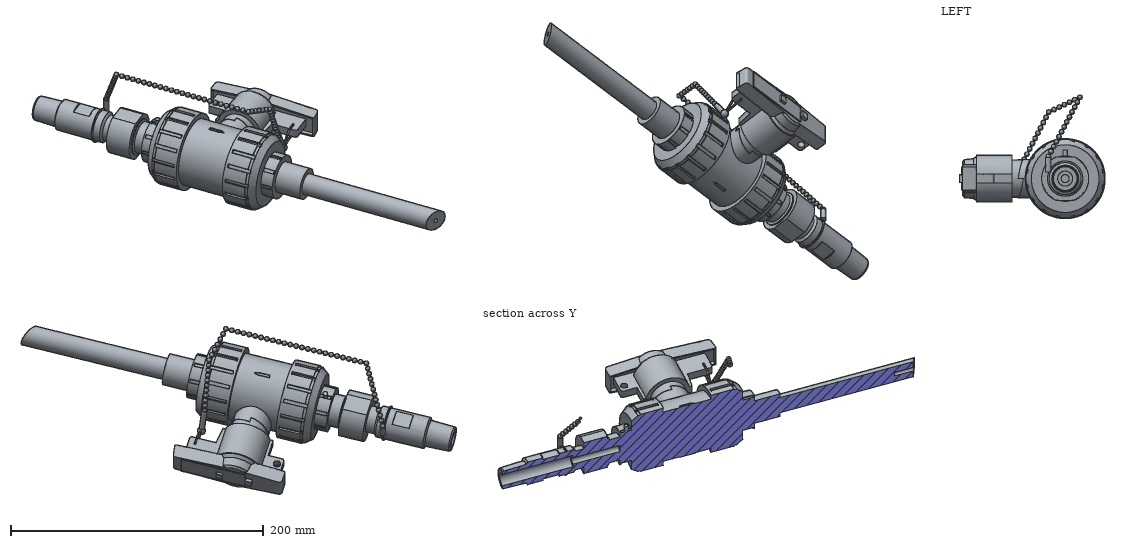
import cadquery as cq
import math


THREAD_START_DIA = 20.0
THREAD_END_DIA = 21.3
THREAD_END_X = 20.3
THREAD_CHAMFER = 1.2
HOSE_DIA = 25.4
HOSE_START_X = 21.5
HOSE_END_X = 60.6
NECK_DIA = 21.3
NECK_START_X = 62.2
FLAT_START_X = 34.6
FLAT_END_X = 48.5
FLAT_WIDTH = 12.6
NUT_START_X = 69.3
NUT_END_X = 89.4
NUT_DIA = 37.34
NUT_ACROSS_FLATS = 34.54
SPIGOT_SHOULDER_DIA = 30.0
SPIGOT_DIA = 26.0
SPIGOT_SHOULDER_LENGTH = 1.0
SPIGOT_START_X = 91.2
BORE_DIA = 11.91
BORE_DEPTH = 60.0
INNER_BORE_DIA = 6.35
INNER_BORE_DEPTH = 100.0

VALVE_X = 157.1
BODY_DIA = 54.86
BODY_HALF_LENGTH = 20.2
COLLAR_END = 47.3
COLLAR_DIA = 63.5
COLLAR_BASE_DIA = 62.0
COLLAR_FACE_DIA = 53.6
COLLAR_CONE_LENGTH = 5.4
COLLAR_STEP_WIDTH = 2.2
COLLAR_RIM = 2.2
GRIP_GROOVES = 16
GRIP_GROOVE_WIDTH = 2.8
GRIP_GROOVE_FLOOR_DIA = 60.0
CONNECTOR_DIA = 36.0
CONNECTOR_END = 57.4
CONNECTOR_SLOTS = 8
CONNECTOR_SLOT_WIDTH = 2.8
CONNECTOR_SLOT_DEPTH = 1.0
CONNECTOR_RIM = 1.2
PIN_DIA = 3.81
PIN_X = 105.4
PIN_TOP_Z = 22.5
ARROW_START_X = 151.2
ARROW_HEAD_X = 161.0
ARROW_TIP_X = 163.6
ARROW_HALF_WIDTH = 1.1
ARROW_HEIGHT = 0.5

SLEEVE_DIA = 25.4
SLEEVE_END_X = 236.1
QUILL_DIA = 17.14
QUILL_TIP_X = 353.62
QUILL_BEVEL = 8.6
QUILL_HOLE_DIA = 3.17
QUILL_HOLE_DEPTH = 20.0

STEM_DIA = 29.8
CAM_SLEEVE_DIA = 30.4
CAM_RAMPS = 4
CAM_LOW_Y = 33.2
CAM_HIGH_Y = 37.2
HUB_DIA = 37.34
HUB_START_Y = 42.1
BAR_START_Y = 70.2
BAR_END_Y = 81.3
DOME_BASE_DIA = 35.2
DOME_NECK_DIA = 31.8
DOME_NECK_Y = 72.8
DOME_TOP_DIA = 30.4
DOME_CHAMFER = 1.6
BAR_LEFT = -38.7
BAR_RIGHT = 52.2
BAR_TOP_RIGHT = 50.6
BAR_HALF_HEIGHT = 9.2
BAR_MID_HALF_HEIGHT = 12.0
BAR_WALL = 1.2
BAR_TOP_THICKNESS = 7.8
BAR_TOP_RADIUS = 2.5
BAR_RIM_RADIUS = 1.2
LUG_THICKNESS = 7.0
LUG_LEFT = -34.1
LUG_RIGHT = 43.6
LUG_BOTTOM_Y = 56.3
LUG_CORNER_RADIUS = 2.0
WEB_LEFT = -20.7
WEB_RIGHT_TOP = 22.3
WEB_RIGHT_BOTTOM = 20.6
LUG_HOLE_DIA = 5.5
LUG_HOLE_Y = 61.9
LUG_HOLE_OFFSET = -29.5
HOOK_OFFSET = 37.9
CAP_START = -9.0
CAP_HALF_HEIGHT = 9.0
CAP_TOP_Y = 82.1
STOP_TOP_Y = 83.9
STOP_WIDTH = 5.2
STOP_HEIGHT = 6.4
STOP_CENTRES = (-12.0, 12.0)

BEAD_DIA = 3.81
BEAD_PITCH = 4.8
LINK_DIA = 1.2
WIRE_DIA = 1.4
CRIMP_DIA = 4.4
CRIMP_LENGTH = 11.5
CRIMP_BEAD_OFFSET = 0.6
END_BALL_DIA = 6.35
RING_X = 54.3
RING_RADIUS = 13.3
CHAIN_TOP_Z = 66.33 - BEAD_DIA / 2
CHAIN_FRONT_Y = -11.7
HOOK_X = VALVE_X + HOOK_OFFSET
CHAIN_NODES = [
    (RING_X, RING_RADIUS, 17.5),
    (74.9, CHAIN_FRONT_Y, CHAIN_TOP_Z),
    (190.6, CHAIN_FRONT_Y, CHAIN_TOP_Z),
    (197.4, 13.0, 52.7),
    (HOOK_X, 34.6, 11.0),
]
HOOK_BALL = (HOOK_X, 43.5, -6.0)
HOOK_FACE_Z = LUG_THICKNESS / 2 + 0.5
HOOK_LOOP = [
    HOOK_BALL,
    (HOOK_X, LUG_BOTTOM_Y - 2.0, HOOK_FACE_Z),
    (HOOK_X, LUG_HOLE_Y, HOOK_FACE_Z),
    (HOOK_X, LUG_HOLE_Y, -HOOK_FACE_Z),
    HOOK_BALL,
]


def rod(start, end, dia):
    """Solid round rod between two points."""
    axis = cq.Vector(*end) - cq.Vector(*start)
    return cq.Workplane(cq.Solid.makeCylinder(dia / 2, axis.Length, cq.Vector(*start), axis))


def ball(centre, dia):
    return cq.Workplane("XY").sphere(dia / 2).translate(centre)


def box_between(low, high):
    size = [b - a for a, b in zip(low, high)]
    return cq.Workplane("XY").box(*size, centered=False).translate(low)


def x_cylinder(start_x, end_x, dia):
    return rod((start_x, 0, 0), (end_x, 0, 0), dia)


def revolve_about_x(stations):
    """Turned solid from (x, diameter) stations."""
    outline = [(stations[0][0], 0)]
    outline += [(x, dia / 2) for x, dia in stations]
    outline.append((stations[-1][0], 0))
    return cq.Workplane("XY").polyline(outline).close().revolve(360, (0, 0, 0), (1, 0, 0))


def mirrored_about_valve(half):
    return half.union(half.mirror("YZ", (VALVE_X, 0, 0)))


def make_inlet():
    inlet = revolve_about_x([
        (0, THREAD_START_DIA - THREAD_CHAMFER),
        (THREAD_CHAMFER, THREAD_START_DIA),
        (THREAD_END_X, THREAD_END_DIA),
        (HOSE_START_X, HOSE_DIA),
        (HOSE_END_X, HOSE_DIA),
        (NECK_START_X, NECK_DIA),
        (NUT_START_X, NECK_DIA),
        (NUT_START_X, NUT_DIA),
        (NUT_END_X, NUT_DIA),
        (NUT_END_X, SPIGOT_SHOULDER_DIA),
        (NUT_END_X + SPIGOT_SHOULDER_LENGTH, SPIGOT_SHOULDER_DIA),
        (SPIGOT_START_X, SPIGOT_DIA),
        (VALVE_X - CONNECTOR_END, SPIGOT_DIA),
        (VALVE_X, SPIGOT_DIA),
    ])
    hose_flat_z = math.sqrt(HOSE_DIA ** 2 - FLAT_WIDTH ** 2) / 2
    hose_flat = box_between(
        (FLAT_START_X, -HOSE_DIA, hose_flat_z), (FLAT_END_X, HOSE_DIA, HOSE_DIA))
    nut_flat = box_between(
        (NUT_START_X, -NUT_DIA, NUT_ACROSS_FLATS / 2), (NUT_END_X, NUT_DIA, NUT_DIA))
    for flat in (hose_flat, nut_flat):
        inlet = inlet.cut(flat).cut(flat.mirror("XY"))
    return inlet


def make_collar():
    """Collar on the inlet side: cone, low step, then grip pads between grooves."""
    face_x = VALVE_X - COLLAR_END
    cone_x = face_x + COLLAR_CONE_LENGTH
    pad_x = cone_x + COLLAR_STEP_WIDTH
    inner_x = VALVE_X - BODY_HALF_LENGTH
    collar = revolve_about_x([
        (face_x, COLLAR_FACE_DIA),
        (cone_x, COLLAR_BASE_DIA),
        (pad_x, COLLAR_BASE_DIA),
        (pad_x, COLLAR_DIA),
        (inner_x, COLLAR_DIA),
    ])
    groove = box_between(
        (cone_x, -GRIP_GROOVE_WIDTH / 2, GRIP_GROOVE_FLOOR_DIA / 2),
        (inner_x - COLLAR_RIM, GRIP_GROOVE_WIDTH / 2, COLLAR_DIA))
    pitch = 360 / GRIP_GROOVES
    for i in range(GRIP_GROOVES):
        collar = collar.cut(groove.rotate((0, 0, 0), (1, 0, 0), (i + 0.5) * pitch))
    return collar


def make_connector():
    """Slotted end connector on the inlet side."""
    face_x = VALVE_X - CONNECTOR_END
    inner_x = VALVE_X - COLLAR_END
    connector = x_cylinder(face_x, inner_x, CONNECTOR_DIA)
    slot = box_between(
        (face_x + CONNECTOR_RIM, -CONNECTOR_SLOT_WIDTH / 2, CONNECTOR_DIA / 2 - CONNECTOR_SLOT_DEPTH),
        (inner_x, CONNECTOR_SLOT_WIDTH / 2, CONNECTOR_DIA))
    for i in range(CONNECTOR_SLOTS):
        connector = connector.cut(slot.rotate((0, 0, 0), (1, 0, 0), i * 360 / CONNECTOR_SLOTS))
    return connector


def make_flow_arrow():
    """Raised flow arrow on the upper side of the body."""
    return (
        cq.Workplane("XY")
        .polyline([
            (ARROW_START_X, -ARROW_HALF_WIDTH),
            (ARROW_HEAD_X, -ARROW_HALF_WIDTH),
            (ARROW_TIP_X, 0),
            (ARROW_HEAD_X, ARROW_HALF_WIDTH),
            (ARROW_START_X, ARROW_HALF_WIDTH),
        ])
        .close()
        .extrude(BODY_DIA / 2 + ARROW_HEIGHT)
    )


def make_valve_body():
    body = x_cylinder(VALVE_X - BODY_HALF_LENGTH, VALVE_X + BODY_HALF_LENGTH, BODY_DIA)
    body = body.union(mirrored_about_valve(make_collar().union(make_connector())))
    arrow = make_flow_arrow()
    pin = rod((PIN_X, 0, 0), (PIN_X, 0, PIN_TOP_Z), PIN_DIA)
    return body.union(arrow).union(arrow.mirror("XY")).union(pin)


def make_outlet():
    """Sleeve and quill; the quill tip is cut on a slant that leaves its point at +Y."""
    radius = QUILL_DIA / 2
    quill = x_cylinder(SLEEVE_END_X, QUILL_TIP_X, QUILL_DIA)
    bevel = (
        cq.Workplane("XY")
        .polyline([
            (QUILL_TIP_X, radius),
            (QUILL_TIP_X - QUILL_BEVEL, -radius),
            (QUILL_TIP_X, -radius),
        ])
        .close()
        .extrude(QUILL_DIA, both=True)
    )
    hole = x_cylinder(QUILL_TIP_X - QUILL_HOLE_DEPTH, QUILL_TIP_X, QUILL_HOLE_DIA)
    sleeve = x_cylinder(VALVE_X + COLLAR_END, SLEEVE_END_X, SLEEVE_DIA)
    return sleeve.union(quill.cut(bevel).cut(hole))


def bar_plan(inset):
    """Bar outline seen along the stem: tapers from the middle to both ends."""
    left = VALVE_X + BAR_LEFT + inset
    right = VALVE_X + BAR_RIGHT - inset
    end = BAR_HALF_HEIGHT - inset
    middle = BAR_MID_HALF_HEIGHT - inset
    return [(left, -end), (VALVE_X, -middle), (right, -end), (right, end), (VALVE_X, middle), (left, end)]


def y_prism(outline, start_y, end_y):
    """Prism along +Y from an (x, z) outline."""
    plane = cq.Plane(origin=(0, end_y, 0), xDir=(1, 0, 0), normal=(0, -1, 0))
    return cq.Workplane(plane).polyline(outline).close().extrude(end_y - start_y)


def make_bar():
    """Hollow bar, open towards the valve, with rounded outer ends."""
    bar = y_prism(bar_plan(0), BAR_START_Y, BAR_END_Y)
    end_profile = (
        cq.Workplane("XY")
        .polyline([
            (VALVE_X + BAR_LEFT, BAR_START_Y),
            (VALVE_X + BAR_RIGHT, BAR_START_Y),
            (VALVE_X + BAR_TOP_RIGHT, BAR_END_Y),
            (VALVE_X + BAR_LEFT, BAR_END_Y),
        ])
        .close()
        .extrude(BAR_MID_HALF_HEIGHT, both=True)
        .edges("|Z and >Y")
        .fillet(BAR_TOP_RADIUS)
        .edges("|Z and <Y")
        .fillet(BAR_RIM_RADIUS)
    )
    hollow = y_prism(bar_plan(BAR_WALL), BAR_START_Y, BAR_END_Y - BAR_TOP_THICKNESS)
    return bar.intersect(end_profile).cut(hollow)


def make_lug_plate():
    """Plate through the hub that carries the padlock lug and the chain lug."""
    def flat_part(outline):
        return (
            cq.Workplane("XY")
            .polyline([(VALVE_X + x, y) for x, y in outline])
            .close()
            .extrude(LUG_THICKNESS / 2, both=True)
        )

    lugs = flat_part([
        (LUG_LEFT, LUG_BOTTOM_Y), (LUG_RIGHT, LUG_BOTTOM_Y), (LUG_RIGHT, BAR_END_Y), (LUG_LEFT, BAR_END_Y)])
    lugs = lugs.edges("|Z and <Y").fillet(LUG_CORNER_RADIUS)
    web = flat_part([
        (WEB_LEFT, HUB_START_Y), (WEB_RIGHT_BOTTOM, HUB_START_Y),
        (WEB_RIGHT_TOP, LUG_BOTTOM_Y), (WEB_LEFT, LUG_BOTTOM_Y)])
    plate = lugs.union(web)
    hole_x = VALVE_X + LUG_HOLE_OFFSET
    hole = rod((hole_x, LUG_HOLE_Y, -LUG_THICKNESS), (hole_x, LUG_HOLE_Y, LUG_THICKNESS), LUG_HOLE_DIA)
    return plate.cut(hole)


def make_cam_sleeve():
    """Lower sleeve round the stem; its rim is a ring of ramps with a drop after each one."""
    radius = CAM_SLEEVE_DIA / 2
    sector_half_width = radius * math.sin(math.pi / CAM_RAMPS)
    slope = (CAM_HIGH_Y - CAM_LOW_Y) / (2 * sector_half_width)
    middle_y = (CAM_LOW_Y + CAM_HIGH_Y) / 2
    rise = slope * radius
    ramp = (
        cq.Workplane("XY")
        .polyline([(-radius, 0), (radius, 0), (radius, middle_y - rise), (-radius, middle_y + rise)])
        .close()
        .extrude(radius)
    )
    sector = cq.Workplane("XZ").circle(radius).extrude(-HUB_START_Y)
    sector = sector.intersect(
        box_between((0, 0, 0), (radius, HUB_START_Y, radius)).rotate((0, 0, 0), (0, 1, 0), -45))
    sector = sector.intersect(ramp)
    sleeve = sector
    for i in range(1, CAM_RAMPS):
        sleeve = sleeve.union(sector.rotate((0, 0, 0), (0, 1, 0), i * 360 / CAM_RAMPS))
    return sleeve.rotate((0, 0, 0), (0, 1, 0), 180 / CAM_RAMPS).translate((VALVE_X, 0, 0))


def make_handle():
    stem = rod((VALVE_X, 0, 0), (VALVE_X, HUB_START_Y, 0), STEM_DIA)
    hub = rod((VALVE_X, HUB_START_Y, 0), (VALVE_X, BAR_START_Y, 0), HUB_DIA)
    dome_profile = [
        (0, BAR_START_Y),
        (DOME_BASE_DIA / 2, BAR_START_Y),
        (DOME_NECK_DIA / 2, DOME_NECK_Y),
        (DOME_TOP_DIA / 2, BAR_END_Y - DOME_CHAMFER),
        (DOME_TOP_DIA / 2 - DOME_CHAMFER, BAR_END_Y),
        (0, BAR_END_Y),
    ]
    dome = cq.Workplane("XY").polyline(dome_profile).close().revolve(360, (0, 0, 0), (0, 1, 0))
    dome = dome.translate((VALVE_X, 0, 0))
    cap = box_between(
        (VALVE_X + CAP_START, BAR_END_Y, -CAP_HALF_HEIGHT),
        (VALVE_X + LUG_RIGHT, CAP_TOP_Y, CAP_HALF_HEIGHT))
    handle = stem.union(make_cam_sleeve()).union(hub).union(dome).union(make_bar()).union(make_lug_plate()).union(cap)
    for offset in STOP_CENTRES:
        handle = handle.union(box_between(
            (VALVE_X + offset - STOP_WIDTH / 2, BAR_END_Y, -STOP_HEIGHT / 2),
            (VALVE_X + offset + STOP_WIDTH / 2, STOP_TOP_Y, STOP_HEIGHT / 2)))
    return handle


def make_chain():
    """Bead chain from the hose body ring to the hook in the chain lug."""
    pieces = [ball(CHAIN_NODES[0], BEAD_DIA)]
    for start, end in zip(CHAIN_NODES, CHAIN_NODES[1:]):
        first = cq.Vector(*start)
        run = cq.Vector(*end) - first
        count = round(run.Length / BEAD_PITCH)
        pieces.append(rod(start, end, LINK_DIA))
        for i in range(1, count + 1):
            pieces.append(ball((first + run * (i / count)).toTuple(), BEAD_DIA))

    crimp_end = (RING_X, RING_RADIUS, CHAIN_NODES[0][2] - CRIMP_BEAD_OFFSET)
    crimp_start = (RING_X, RING_RADIUS, crimp_end[2] - CRIMP_LENGTH)
    ring = cq.Solid.makeTorus(RING_RADIUS, WIRE_DIA / 2, cq.Vector(RING_X, 0, 0), cq.Vector(1, 0, 0))
    pieces.append(cq.Workplane(ring))
    pieces.append(rod(crimp_start, crimp_end, CRIMP_DIA))

    pieces.append(rod(CHAIN_NODES[-1], HOOK_BALL, CRIMP_DIA))
    pieces.append(ball(HOOK_BALL, END_BALL_DIA))
    for start, end in zip(HOOK_LOOP, HOOK_LOOP[1:]):
        pieces.append(rod(start, end, WIRE_DIA))
    for corner in HOOK_LOOP[1:-1]:
        pieces.append(ball(corner, WIRE_DIA))
    solids = [piece.val() for piece in pieces]
    return cq.Workplane(solids[0].fuse(*solids[1:]))


valve = make_inlet().union(make_valve_body()).union(make_outlet()).union(make_handle())
valve = valve.cut(x_cylinder(0, BORE_DEPTH, BORE_DIA))
valve = valve.cut(x_cylinder(BORE_DEPTH, INNER_BORE_DEPTH, INNER_BORE_DIA))
result = valve.union(make_chain())